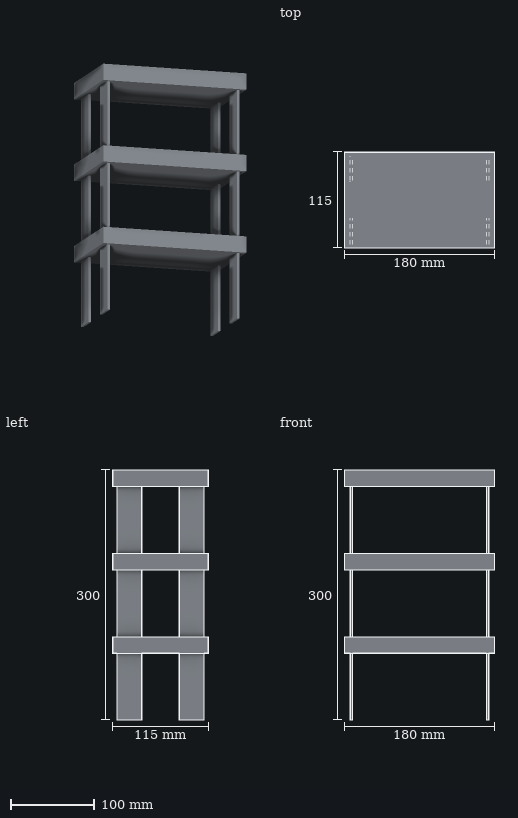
import cadquery as cq

width = 180.0
depth = 115.0
height = 300.0

shelf_count = 3
shelf_pitch = height / shelf_count
shelf_thickness = shelf_pitch / 5

leg_thickness = 3.0
leg_width = 30.0
leg_side_inset = 7.0
leg_end_inset = 5.0

leg_x = width / 2 - leg_side_inset - leg_thickness / 2
leg_y = depth / 2 - leg_end_inset - leg_width / 2


def make_shelf(top_z):
    """Solid rectangular board whose upper face lies at top_z."""
    return (
        cq.Workplane("XY")
        .workplane(offset=top_z - shelf_thickness)
        .rect(width, depth)
        .extrude(shelf_thickness)
    )


def make_legs():
    """Four strips from the floor to the underside of the top shelf."""
    return (
        cq.Workplane("XY")
        .rect(2 * leg_x, 2 * leg_y, forConstruction=True)
        .vertices()
        .rect(leg_thickness, leg_width)
        .extrude(height - shelf_thickness)
    )


result = make_legs()
for level in range(1, shelf_count + 1):
    result = result.union(make_shelf(level * shelf_pitch))